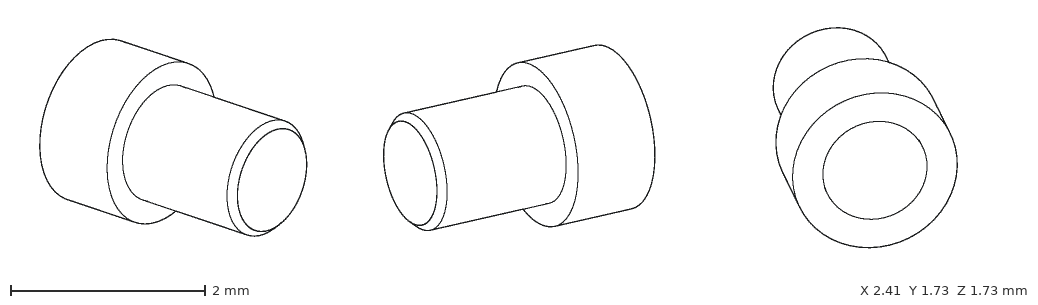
import cadquery as cq

total_length = 2.414
head_diameter = 1.73
head_length = 0.916
shank_diameter = 1.24
bore_diameter = 1.094

bevel_length = 0.08
bevel_depth = 0.07

head_radius = head_diameter / 2
shank_radius = shank_diameter / 2
bore_radius = bore_diameter / 2


def make_sleeve():
    """Revolve the half section of the wall, from bore to outside, about X."""
    wall_section = (
        cq.Workplane("XZ")
        .moveTo(0, bore_radius)
        .lineTo(0, head_radius)
        .lineTo(head_length, head_radius)
        .lineTo(head_length, shank_radius)
        .lineTo(total_length - bevel_length, shank_radius)
        .lineTo(total_length, shank_radius - bevel_depth)
        .lineTo(total_length, bore_radius)
        .close()
    )
    return wall_section.revolve(360, (0, 0, 0), (1, 0, 0))


result = make_sleeve()